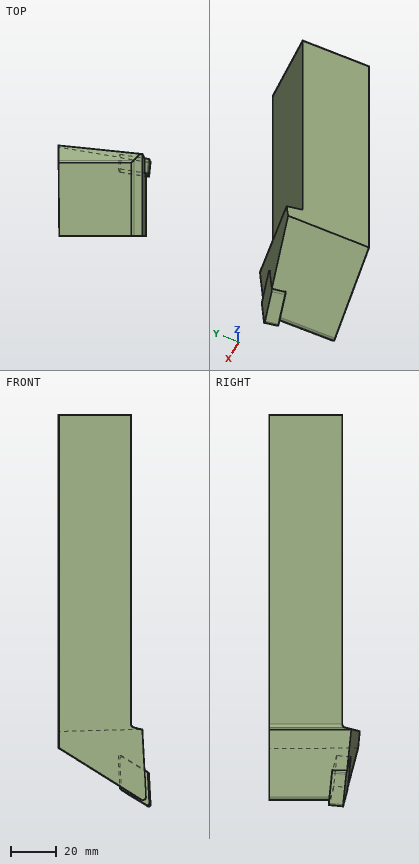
import cadquery as cq
import math

overall_length = 171.4
shank_right = 31.9
shank_depth = 32.0
side_draft = 0.3

head_depth = 39.8
head_peak_z = 32.9
shoulder_z = 35.0
shoulder_angle = 14.5
shoulder_fillet = 1.5
shoulder_corner_x = 36.8
heel_z = 25.7
head_nose_radius = 1.4
rake_angle = 6.0
inclination_angle = 5.6

overall_width = 40.5
lead_angle = 3.0
insert_angle = 55.0
insert_edge = 15.5
insert_thickness = 6.3
insert_nose_radius = 0.9

stock_margin = 8.5

rake_slope_x = -math.tan(math.radians(rake_angle))
rake_slope_z = math.tan(math.radians(inclination_angle))
edge_x = -math.sin(math.radians(lead_angle))
edge_z = math.cos(math.radians(lead_angle))


def rake_y(x, z):
    """Y of the inclined rake face at a given X and Z."""
    return head_depth + rake_slope_x * x + rake_slope_z * (z - head_peak_z)


def rake_plane(x, z):
    """Plane on the rake face, its local x along the side cutting edge."""
    edge_y = rake_slope_x * edge_x + rake_slope_z * edge_z
    return cq.Plane(
        origin=(x, rake_y(x, z), z),
        xDir=(edge_x, edge_y, edge_z),
        normal=(-rake_slope_x, 1, -rake_slope_z),
    )


def make_side_profile():
    """Shank and head outline in XZ, extruded along +Y."""
    depth = head_depth + stock_margin
    shoulder_drop = (shoulder_corner_x - shank_right) * math.tan(math.radians(shoulder_angle))
    corner_z = shoulder_z - shoulder_drop
    side_slope = math.tan(math.radians(lead_angle))
    end_slope = math.tan(math.radians(90 - insert_angle - lead_angle))
    tip_x = (shoulder_corner_x + side_slope * (corner_z - heel_z)) / (1 - side_slope * end_slope)
    tip_z = heel_z - end_slope * tip_x
    body = (
        cq.Workplane("XZ")
        .polyline([
            (0, overall_length),
            (shank_right, overall_length),
            (shank_right, shoulder_z),
            (shoulder_corner_x, corner_z),
            (tip_x, tip_z),
            (0, heel_z),
        ])
        .close()
        .extrude(-depth)
    )
    middle_y = depth / 2
    body = body.edges(cq.NearestToPointSelector((shank_right, middle_y, shoulder_z))).fillet(shoulder_fillet)
    return body.edges(cq.NearestToPointSelector((tip_x, middle_y, tip_z))).fillet(head_nose_radius)


def make_back_profile():
    """Shank and shoulder outline in YZ, extruded along +X."""
    outer_y = head_depth + stock_margin
    outer_z = shoulder_z - (outer_y - shank_depth) * math.tan(math.radians(shoulder_angle))
    body = (
        cq.Workplane("YZ")
        .polyline([
            (0, overall_length),
            (shank_depth, overall_length),
            (shank_depth, shoulder_z),
            (outer_y, outer_z),
            (outer_y, 0),
            (0, 0),
        ])
        .close()
        .extrude(overall_width)
    )
    root = cq.NearestToPointSelector((overall_width / 2, shank_depth, shoulder_z))
    return body.edges(root).fillet(shoulder_fillet)


def make_rake_cutter():
    """Block whose underside is the rake face."""
    size = 3 * head_depth
    return cq.Workplane(rake_plane(0, head_peak_z)).rect(size, size).extrude(size)


def make_draft_cutter():
    """Wedge that drafts the -X face."""
    return (
        cq.Workplane("XY")
        .polyline([(0, 0), (side_draft, 0), (0, head_depth)])
        .close()
        .extrude(overall_length)
    )


def make_insert():
    """Rhombic insert, placed so that its nose touches the two outer limits of the tool."""
    nose_x = overall_width - insert_nose_radius
    nose_z = insert_nose_radius
    half_angle = math.radians(insert_angle / 2)
    corner_distance = insert_nose_radius / math.sin(half_angle)
    corner_u = -corner_distance * math.cos(half_angle)
    corner_v = corner_distance * math.sin(half_angle)
    end_u = insert_edge * math.cos(math.radians(insert_angle))
    end_v = -insert_edge * math.sin(math.radians(insert_angle))
    return (
        cq.Workplane(rake_plane(nose_x, nose_z))
        .polyline([
            (corner_u, corner_v),
            (corner_u + insert_edge, corner_v),
            (corner_u + insert_edge + end_u, corner_v + end_v),
            (corner_u + end_u, corner_v + end_v),
        ])
        .close()
        .extrude(-insert_thickness)
        .edges(cq.ParallelDirSelector(rake_plane(nose_x, nose_z).zDir))
        .fillet(insert_nose_radius)
    )


def make_holder(insert):
    """Tool holder with a pocket that matches the insert."""
    holder = make_side_profile().intersect(make_back_profile())
    holder = holder.cut(make_rake_cutter())
    holder = holder.cut(make_draft_cutter())
    return holder.cut(insert)


insert = make_insert()
holder = make_holder(insert)

result = cq.Compound.makeCompound([holder.val(), insert.val()])